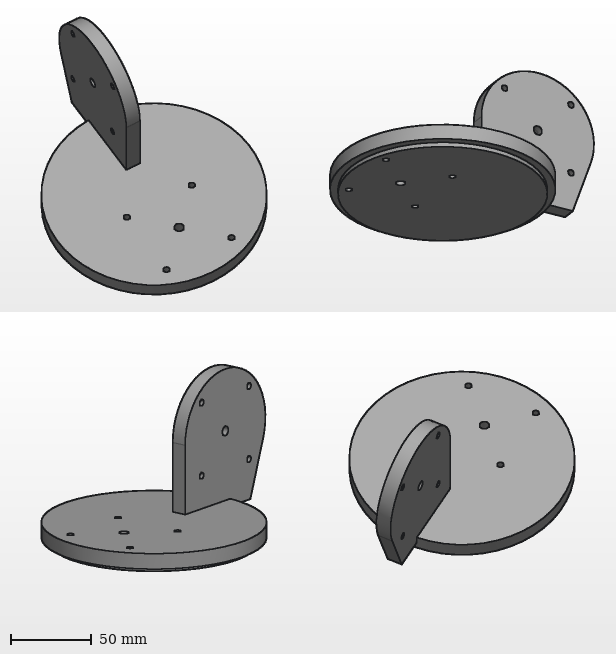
import cadquery as cq
import math

disc_diameter = 140.0
step_diameter = 130.0
step_height = 3.0
disc_thickness = 10.0
base_height = step_height + disc_thickness

overall_length = 175.0
overall_height = 98.0
plate_thickness = 10.0
plate_radius = 40.0
plate_bottom = 8.0
corner_inset = 15.0
plate_left = disc_diameter / 2 - overall_length
plate_center_x = plate_left + plate_radius
plate_center_z = overall_height - plate_radius

center_hole_diameter = 6.0
corner_hole_diameter = 4.0
hole_spacing = 47.2
base_pattern_x = 30.0


def make_base():
    step = cq.Workplane("XY").circle(step_diameter / 2).extrude(step_height)
    disc = (
        cq.Workplane("XY")
        .workplane(offset=step_height)
        .circle(disc_diameter / 2)
        .extrude(disc_thickness)
    )
    return step.union(disc)


def make_plate():
    """Round-topped plate with its left side tangent to the arc."""
    corner_x = corner_inset - plate_radius
    bottom_z = plate_bottom - plate_center_z
    corner_distance = math.hypot(corner_x, bottom_z)
    corner_angle = math.atan2(bottom_z, corner_x)
    tangent_angle = corner_angle - math.acos(plate_radius / corner_distance)
    tangent_x = plate_radius * math.cos(tangent_angle)
    tangent_z = plate_radius * math.sin(tangent_angle)
    return (
        cq.Workplane("XZ", origin=(plate_center_x, 0, plate_center_z))
        .moveTo(corner_x, bottom_z)
        .lineTo(plate_radius, bottom_z)
        .lineTo(plate_radius, 0)
        .threePointArc((0, plate_radius), (tangent_x, tangent_z))
        .close()
        .extrude(plate_thickness / 2, both=True)
    )


def hole_pattern(plane, depth):
    """Cutters for a centre hole and four holes on a square, both ways from the plane."""
    center_hole = plane.circle(center_hole_diameter / 2).extrude(depth, both=True)
    corner_holes = (
        plane.rect(hole_spacing, hole_spacing, forConstruction=True)
        .vertices()
        .circle(corner_hole_diameter / 2)
        .extrude(depth, both=True)
    )
    return center_hole.union(corner_holes)


base_holes = hole_pattern(cq.Workplane("XY", origin=(base_pattern_x, 0, 0)), base_height)
plate_holes = hole_pattern(
    cq.Workplane("XZ", origin=(plate_center_x, 0, plate_center_z)), plate_thickness
)

result = make_base().union(make_plate()).cut(base_holes).cut(plate_holes)